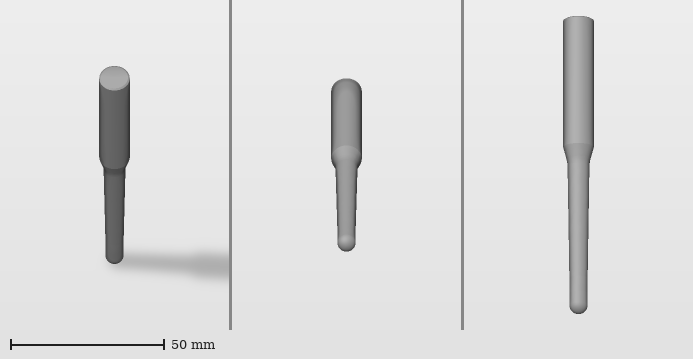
import cadquery as cq
import math

total_length = 100.0
shank_radius = 5.0
chamfer_width = 0.6
chamfer_height = 0.4

tip_radius = 3.0
tip_length = 7.0

taper_start_z = 12.1
neck_top_z = 50.3
neck_top_radius = 3.6
neck_angle = math.atan((neck_top_radius - tip_radius) / (neck_top_z - taper_start_z))

cone_angle = math.radians(15.0)
blend_height = 2.3
cone_bottom_z = neck_top_z + blend_height
blend_chord_angle = (neck_angle + cone_angle) / 2
cone_bottom_radius = neck_top_radius + blend_height * math.tan(blend_chord_angle)
cone_top_z = cone_bottom_z + (shank_radius - cone_bottom_radius) / math.tan(cone_angle)


def revolve_about_z(profile):
    """Turn a closed XZ half profile into a solid around the Z axis."""
    return profile.close().revolve(360, (0, 0, 0), (0, 1, 0))


def make_cutting_tip():
    """Cylindrical cutting end with a hemispherical nose."""
    arc_offset = tip_radius * math.sin(math.radians(45))
    profile = (
        cq.Workplane("XZ")
        .threePointArc((arc_offset, tip_radius - arc_offset), (tip_radius, tip_radius))
        .lineTo(tip_radius, tip_length)
        .lineTo(0, tip_length)
    )
    return revolve_about_z(profile)


def make_shank():
    """Neck, blended shoulder and chamfered shank, seated on the cutting tip."""
    profile = (
        cq.Workplane("XZ")
        .moveTo(0, tip_length)
        .lineTo(tip_radius, tip_length)
        .lineTo(tip_radius, taper_start_z)
        .lineTo(neck_top_radius, neck_top_z)
        .tangentArcPoint((cone_bottom_radius, cone_bottom_z), relative=False)
        .lineTo(shank_radius, cone_top_z)
        .lineTo(shank_radius, total_length - chamfer_height)
        .lineTo(shank_radius - chamfer_width, total_length)
        .lineTo(0, total_length)
    )
    return revolve_about_z(profile)


cutting_tip = make_cutting_tip()
shank = make_shank()

result = cq.Compound.makeCompound([cutting_tip.val(), shank.val()])